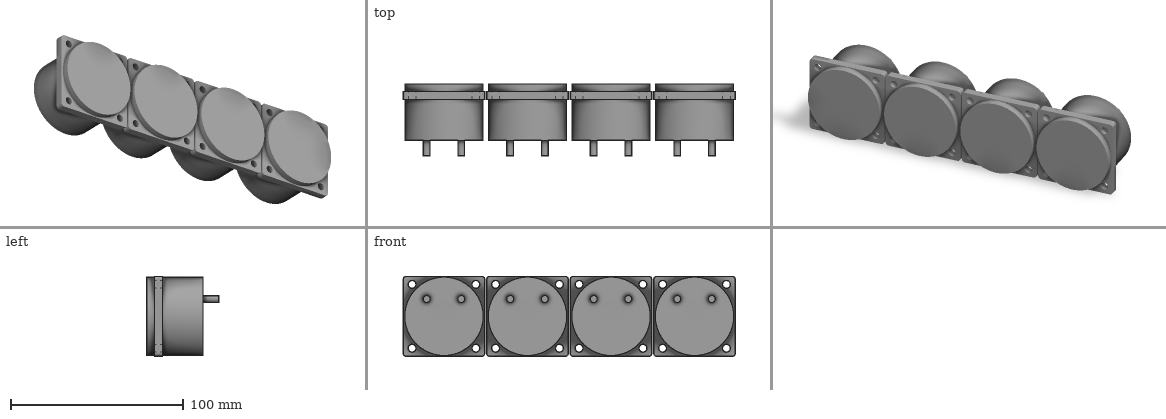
import cadquery as cq

METER_COUNT = 4
ROW_LENGTH = 193.0

FLANGE_WIDTH = 47.5
FLANGE_HEIGHT = 46.5
FLANGE_THICKNESS = 4.8
CORNER_RADIUS = 2.0
HOLE_SPACING = 37.0
HOLE_DIAMETER = 4.5

CASE_DIAMETER = 45.5
CASE_DEPTH = 32.8
FACE_PROJECTION = 4.5

PIN_DIAMETER = 4.0
PIN_LENGTH = 9.0
PIN_SPACING = 20.0
PIN_HEIGHT = 10.0

METER_PITCH = (ROW_LENGTH - FLANGE_WIDTH) / (METER_COUNT - 1)
FLANGE_BACK_Y = -FACE_PROJECTION


def xz_plane(y):
    """XZ sketch plane at the given Y; positive extrusion goes toward -Y."""
    return cq.Workplane("XZ", origin=(0, y, 0))


def make_flange():
    """Rectangular plate with rounded corners and four mounting holes."""
    plate = (
        xz_plane(FLANGE_BACK_Y)
        .rect(FLANGE_WIDTH, FLANGE_HEIGHT)
        .extrude(FLANGE_THICKNESS)
        .edges("|Y")
        .fillet(CORNER_RADIUS)
    )
    holes = (
        xz_plane(FLANGE_BACK_Y)
        .rect(HOLE_SPACING, HOLE_SPACING, forConstruction=True)
        .vertices()
        .circle(HOLE_DIAMETER / 2)
        .extrude(FLANGE_THICKNESS)
    )
    return plate.cut(holes)


def make_case():
    """Cylinder from the meter face at Y = 0 to the terminal end."""
    return xz_plane(0).circle(CASE_DIAMETER / 2).extrude(CASE_DEPTH)


def make_pins():
    """Pair of terminal pins above the case axis."""
    return (
        xz_plane(-CASE_DEPTH)
        .pushPoints([(side * PIN_SPACING / 2, PIN_HEIGHT) for side in (-1, 1)])
        .circle(PIN_DIAMETER / 2)
        .extrude(PIN_LENGTH)
    )


def make_meter(x):
    """One complete meter with its axis at the given X."""
    meter = make_flange().union(make_case()).union(make_pins())
    return meter.translate((x, 0, 0))


first_meter_x = -METER_PITCH * (METER_COUNT - 1) / 2
meters = [make_meter(first_meter_x + index * METER_PITCH) for index in range(METER_COUNT)]

result = cq.Compound.makeCompound([meter.val() for meter in meters])